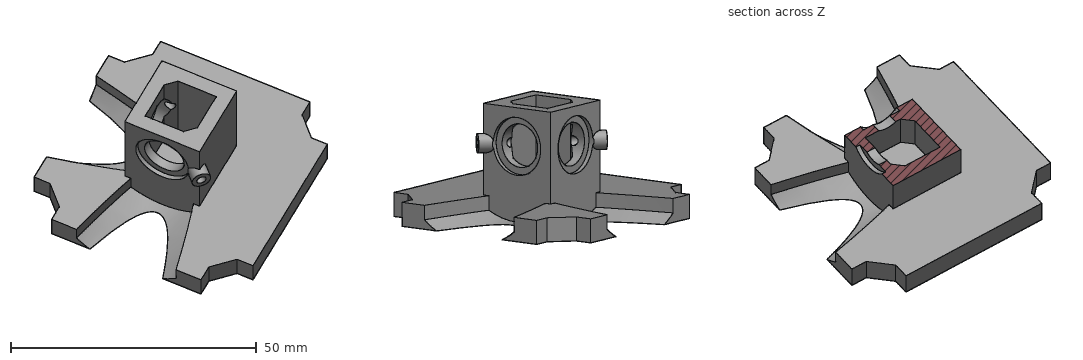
import cadquery as cq
import math

plate_size = 49.8
plate_thickness = 5.0
half_plate = plate_size / 2
arm_half_width = 17.0
corner_step = 3.6

tower_size = 17.0
tower_top = 24.0
half_tower = tower_size / 2
wall_to_edge = half_plate - half_tower
bore_size = 10.8
bore_floor = plate_thickness
bore_corner_cut = 2.1

window_height = 16.0
window_diameter = 9.0
recess_diameter = 12.0
recess_depth = 1.0

pin_height = 15.75
pin_diameter = 4.0
pin_hole_diameter = 2.0
pin_reach = 13.25

scoop_inner_radius = 15.7
scoop_flare_angle = 8.0
scoop_wall_base = 2.0
scoop_outer_radius = scoop_inner_radius + wall_to_edge * math.tan(math.radians(scoop_flare_angle))


def make_plate():
    """Square plate whose corners are notched in steps joined by a diagonal."""
    step_end = half_plate - corner_step
    quarter = [
        (half_plate, arm_half_width),
        (step_end, arm_half_width),
        (arm_half_width, step_end),
        (arm_half_width, half_plate),
    ]
    outline = []
    for _ in range(4):
        outline += quarter
        quarter = [(-y, x) for x, y in quarter]
    return cq.Workplane("XY").polyline(outline).close().extrude(plate_thickness)


def make_scoop():
    """Cutter that widens and deepens from the -Y tower wall to the plate edge."""
    cone = (
        cq.Workplane("XZ", origin=(0, -half_tower, window_height))
        .circle(scoop_inner_radius)
        .workplane(offset=wall_to_edge)
        .circle(scoop_outer_radius)
        .loft()
    )
    below_wall_base = (
        cq.Workplane("XY", origin=(0, 0, scoop_wall_base))
        .rect(2 * plate_size, 2 * plate_size)
        .extrude(-plate_size)
    )
    cone_base = cone.intersect(below_wall_base)
    wall_height = plate_thickness - scoop_wall_base
    upright = cone_base.faces(">Z").wires().toPending().workplane().extrude(wall_height, combine=False)
    return cone_base.union(upright)


def make_window():
    """Cutter for the -Y window; its recess runs outward too and trims the nearby pin."""
    face = cq.Workplane("XZ", origin=(0, -half_tower, window_height))
    hole = face.circle(window_diameter / 2).extrude(-half_tower)
    recess = (
        face.workplane(offset=-recess_depth)
        .circle(recess_diameter / 2)
        .extrude(recess_depth + wall_to_edge)
    )
    return hole.union(recess)


def make_bore():
    """Square bore with flats across its (-X, +Y) and (+X, -Y) corners."""
    return (
        cq.Workplane("XY", origin=(0, 0, bore_floor))
        .rect(bore_size, bore_size)
        .extrude(tower_top - bore_floor)
        .edges("|Z and (<(1, -1, 0) or >(1, -1, 0))")
        .chamfer(bore_corner_cut)
    )


def make_diagonal_rod(diameter):
    """Rod centred on the tower axis, running along the pin diagonal."""
    diagonal = cq.Plane(origin=(0, 0, pin_height), xDir=(0, 0, 1), normal=(1, -1, 0))
    return cq.Workplane(diagonal).circle(diameter / 2).extrude(pin_reach, both=True)


def on_both_window_sides(cutter):
    """The -Y side cutter together with a copy turned to the -X side."""
    return [cutter, cutter.rotate((0, 0, 0), (0, 0, 1), -90)]


plate = make_plate()
for scoop in on_both_window_sides(make_scoop()):
    plate = plate.cut(scoop)

tower = cq.Workplane("XY").rect(tower_size, tower_size).extrude(tower_top)
body = plate.union(tower).union(make_diagonal_rod(pin_diameter))

body = body.cut(make_bore())
for window in on_both_window_sides(make_window()):
    body = body.cut(window)

result = body.cut(make_diagonal_rod(pin_hole_diameter))